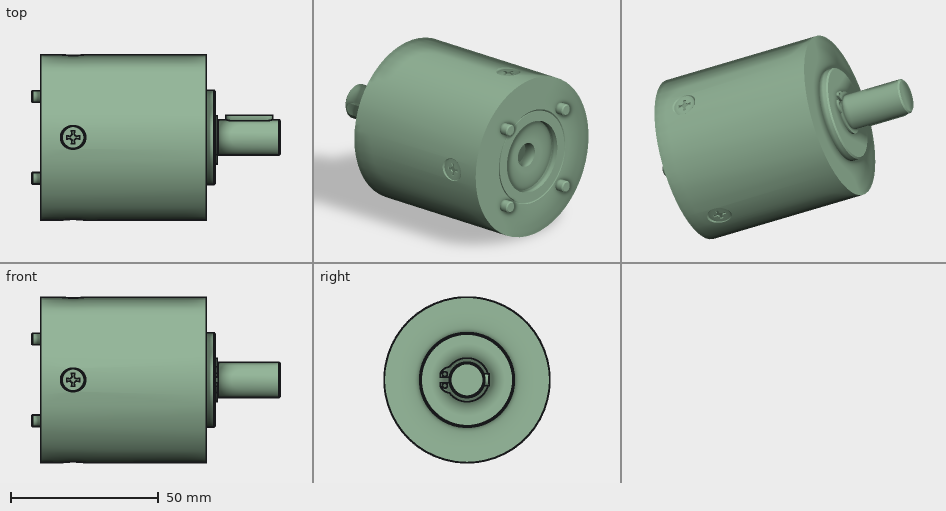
import cadquery as cq
import math

housing_diameter = 56.0
housing_length = 56.0
pilot_diameter = 32.0
pilot_length = 3.0
pilot_chamfer = 0.5
pilot_face = housing_length + pilot_length

shaft_diameter = 12.0
shaft_length = 25.0
shaft_chamfer = 0.5
shaft_end = housing_length + shaft_length

groove_diameter = 11.5
groove_width = 1.1
ring_thickness = 0.75
ring_diameter = 14.75
lug_reach = 9.0
lug_tip_half_width = 2.2
lug_root_reach = 5.9
lug_root_half_width = math.sqrt((ring_diameter / 2) ** 2 - lug_root_reach**2)
lug_side_reach = 7.8
lug_side_half_width = 3.65
lug_gap = 1.9
lug_hole_diameter = 1.7
lug_hole_reach = 7.5
lug_hole_offset = 1.95

key_width = 4.0
key_length = 16.0
key_top = 7.5
key_bottom = 3.5
key_end_margin = 2.5

insert_diameter = 32.0
insert_edge_chamfer = 0.5
recess_diameter = 25.0
recess_floor_diameter = 24.72
recess_taper_length = 0.4
recess_depth = 2.65
bore_diameter = 8.4
bore_depth = 4.4

pin_diameter = 4.0
pin_tip_diameter = 3.24
pin_length = 3.0
pin_circle_diameter = 39.0
pin_hole_diameter = 4.3
pin_hole_depth = 0.2
pin_count = 4
first_pin_angle = 45

plug_x = 11.0
plug_count = 4
plug_diameter = 7.5
plug_sink = 0.5
cross_arm_count = 4
cross_span = 4.4
cross_tip_width = 1.15
cross_neck_width = 0.75
cross_neck_reach = 1.0
cross_depth = 0.5


def cylinder_x(diameter, x_start, x_end):
    """Cylinder on the X axis between two X positions."""
    return cq.Workplane("YZ", origin=(x_start, 0, 0)).circle(diameter / 2).extrude(x_end - x_start)


def make_housing():
    """Main cylinder with the chamfered pilot on its front face."""
    body = cylinder_x(housing_diameter, 0, housing_length)
    pilot = cylinder_x(pilot_diameter, housing_length, pilot_face).faces(">X").chamfer(pilot_chamfer)
    return body.union(pilot)


def make_shaft():
    """Output shaft with a chamfered end and the retaining ring groove."""
    shaft = cylinder_x(shaft_diameter, housing_length, shaft_end).faces(">X").chamfer(shaft_chamfer)
    groove_end = pilot_face + groove_width
    groove = cylinder_x(shaft_diameter, pilot_face, groove_end).cut(
        cylinder_x(groove_diameter, pilot_face, groove_end)
    )
    return shaft.cut(groove)


def make_retaining_ring():
    """Ring with two drilled lugs on the -Y side, either side of a gap."""
    plane = cq.Workplane("YZ", origin=(pilot_face, 0, 0))
    lugs = (
        plane.moveTo(-lug_reach, -lug_tip_half_width)
        .lineTo(-lug_reach, lug_tip_half_width)
        .threePointArc((-lug_side_reach, lug_side_half_width), (-lug_root_reach, lug_root_half_width))
        .lineTo(-lug_root_reach, -lug_root_half_width)
        .threePointArc((-lug_side_reach, -lug_side_half_width), (-lug_reach, -lug_tip_half_width))
        .close()
        .extrude(ring_thickness)
    )
    gap = plane.center(-lug_reach / 2, 0).rect(lug_reach, lug_gap).extrude(ring_thickness)
    holes = (
        plane.pushPoints([(-lug_hole_reach, side * lug_hole_offset) for side in (-1, 1)])
        .circle(lug_hole_diameter / 2)
        .extrude(ring_thickness)
    )
    return plane.circle(ring_diameter / 2).extrude(ring_thickness).union(lugs).cut(gap).cut(holes)


def make_key():
    key_center = shaft_end - key_end_margin - key_length / 2
    return (
        cq.Workplane("XZ", origin=(key_center, key_bottom, 0))
        .slot2D(key_length, key_width)
        .extrude(-(key_top - key_bottom))
    )


def make_rear_cuts():
    """Tapered recess, bore and the V groove left by the chamfer around the insert."""
    groove_cone = cq.Solid.makeCone(
        insert_diameter / 2 + insert_edge_chamfer,
        insert_diameter / 2,
        insert_edge_chamfer,
        cq.Vector(0, 0, 0),
        cq.Vector(1, 0, 0),
    )
    groove = cq.Workplane(groove_cone).cut(cylinder_x(insert_diameter, 0, insert_edge_chamfer))
    straight_depth = recess_depth - recess_taper_length
    recess = cylinder_x(recess_diameter, 0, straight_depth)
    taper = cq.Solid.makeCone(
        recess_diameter / 2,
        recess_floor_diameter / 2,
        recess_taper_length,
        cq.Vector(straight_depth, 0, 0),
        cq.Vector(1, 0, 0),
    )
    bore = cylinder_x(bore_diameter, 0, recess_depth + bore_depth)
    return groove.union(recess).union(cq.Workplane(taper)).union(bore)


def add_pins(body):
    for index in range(pin_count):
        angle = math.radians(first_pin_angle + index * 360 / pin_count)
        offset = (0, pin_circle_diameter / 2 * math.cos(angle), pin_circle_diameter / 2 * math.sin(angle))
        hole = cylinder_x(pin_hole_diameter, 0, pin_hole_depth).translate(offset)
        pin = cylinder_x(pin_diameter, -pin_length, pin_hole_depth)
        pin = pin.faces("<X").chamfer((pin_diameter - pin_tip_diameter) / 2).translate(offset)
        body = body.cut(hole).union(pin)
    return body


def make_plug_cuts():
    """Countersink and cross recess for a plug facing +Z; the cross has chamfered inner corners."""
    surface = housing_diameter / 2
    plug_top = surface - plug_sink
    radius = plug_diameter / 2
    countersink = cq.Solid.makeCone(radius, radius + 2 * plug_sink, 2 * plug_sink, cq.Vector(0, 0, plug_top))
    outline = []
    for index in range(cross_arm_count):
        turn = math.radians(index * 360 / cross_arm_count)
        for reach, side in (
            (cross_neck_reach, -cross_neck_width / 2),
            (cross_span / 2, -cross_tip_width / 2),
            (cross_span / 2, cross_tip_width / 2),
            (cross_neck_reach, cross_neck_width / 2),
        ):
            x = reach * math.cos(turn) - side * math.sin(turn)
            y = reach * math.sin(turn) + side * math.cos(turn)
            outline.append((x, y))
    floor = cq.Workplane("XY", origin=(0, 0, plug_top - cross_depth))
    cross = floor.polyline(outline).close().extrude(cross_depth)
    return cross.union(cq.Workplane(countersink)).translate((plug_x, 0, 0))


def cut_plugs(body):
    plug_cuts = make_plug_cuts()
    for index in range(plug_count):
        body = body.cut(plug_cuts.rotate((0, 0, 0), (1, 0, 0), index * 360 / plug_count))
    return body


body = make_housing().union(make_shaft()).union(make_retaining_ring()).union(make_key())
body = body.cut(make_rear_cuts())
body = add_pins(body)
result = cut_plugs(body)